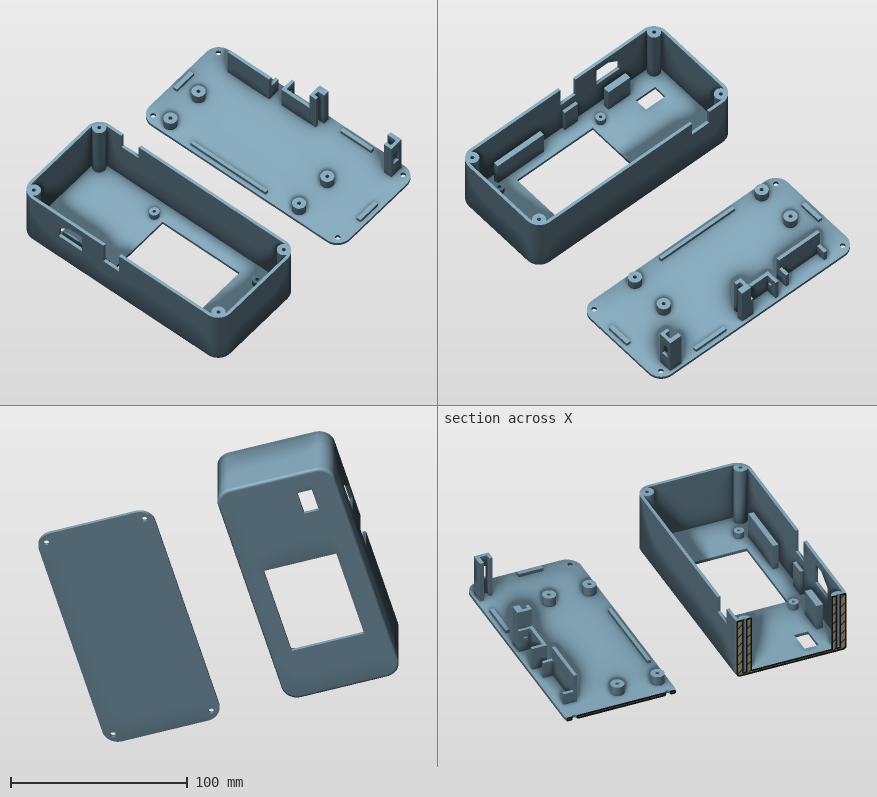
import cadquery as cq

length = 147.2
width = 68.5
corner_radius = 9.0
overall_depth = 174.0
lid_offset = overall_depth - width

screw_x = 67.9
screw_y = 28.9
post_diameter = 8.0
post_hole = 2.3
lid_screw_hole = 3.1

case_height = 38.5
wall = 2.0
bottom_fillet = 1.7
inner_y = width / 2 - wall
cut_margin = 1.7

display_x = (-15.3, 41.2)
display_y = (-21.0, 21.8)
display_standoff_x = (-21.8, 54.0)
display_standoff_y = (-21.8, 22.1)
display_standoff_diameter = 6.0
display_standoff_height = 4.0
display_standoff_hole = 2.0

button_x = (-60.9, -46.5)
button_y = (-19.8, -11.1)

port_x = (-45.0, -28.0)
port_z = (20.2, 33.2)
port_slope_x = -36.7
port_slope_z = 27.7
front_notch_x = (-12.2, -0.9)
front_notch_bottom = 24.2
back_notch_x = (-54.5, -41.8)
back_notch_bottom = 28.4

block_top = 18.1
port_block_x = (-46.6, -30.5)
port_block_y = (-29.0, -24.9)
notch_block_x = (front_notch_x[0], -2.3)
notch_block_inner_y = -30.1
long_block_x = (16.7, 51.2)
long_block_y = (-29.5, -26.3)

plate = 2.0
rib_top = 4.0
side_rib_x = (68.2, 71.0)
left_rib_y = (-7.3, 7.5)
right_rib_y = (-12.5, 2.8)
front_rib_x = (-38.0, 17.0)
front_rib_y = (-31.7, -29.5)
back_rib_x = (21.4, 44.0)
back_rib_y = (29.2, 31.7)
board_standoff_x = (-56.2, 38.5)
board_standoff_y = (-27.7, -2.8)
board_standoff_diameter = 8.0
board_standoff_height = 6.0
board_standoff_hole = 2.3

holder_wall = 2.1
socket_x = (-55.2, -24.7)
socket_y = (21.8, 30.0)
socket_wall_top = 20.4
socket_left_arm_top = 9.2
socket_right_arm_top = 12.4
clip_x = (-16.9, 4.0)
clip_y = (23.1, 32.4)
clip_top = 16.4
bump_y = (27.0, 29.2)
bump_depth = 0.9
bump_z = (9.2, 11.3)

channel_y = (23.3, clip_y[1])
tower_top = 28.0
left_tower_x = 3.7
left_tower_back_x = 10.3
left_tower_lip_x = 8.4
left_tower_back_y = 28.4
right_tower_x = 63.9
right_tower_back_x = 55.7
right_tower_lip_x = 58.3
right_tower_back_y = 29.8
tower_window_z = (12.0, 20.9)


def block(x_range, y_range, z_range):
    """Box given by its lower and upper limit along each axis."""
    size = [high - low for low, high in (x_range, y_range, z_range)]
    return (
        cq.Workplane("XY")
        .box(*size, centered=False)
        .translate((x_range[0], y_range[0], z_range[0]))
    )


def cylinders(points, diameter, bottom, top):
    """Upright cylinders of one size at all the given points."""
    return (
        cq.Workplane("XY")
        .workplane(offset=bottom)
        .pushPoints(points)
        .circle(diameter / 2)
        .extrude(top - bottom)
    )


def grid(x_places, y_places):
    return [(x, y) for x in x_places for y in y_places]


def rounded_slab(x_size, y_size, radius, bottom, top):
    return (
        cq.Workplane("XY")
        .workplane(offset=bottom)
        .rect(x_size, y_size)
        .extrude(top - bottom)
        .edges("|Z")
        .fillet(radius)
    )


screw_points = grid((-screw_x, screw_x), (-screw_y, screw_y))


def case_shell():
    """Open-topped tray with rounded corners and a rounded bottom edge."""
    outside = rounded_slab(length, width, corner_radius, 0, case_height)
    outside = outside.faces("<Z").edges().fillet(bottom_fillet)
    inside = rounded_slab(
        length - 2 * wall, width - 2 * wall, corner_radius - wall, wall, case_height + cut_margin
    )
    return outside.cut(inside)


def floor_opening(x_range, y_range):
    return block(x_range, y_range, (-cut_margin, wall + cut_margin))


def wall_notch(x_range, bottom, side):
    """Cutter for a notch open at the rim: side is -1 for the front wall, 1 for the back."""
    y_range = sorted((side * (inner_y - cut_margin / 2), side * (width / 2 + cut_margin)))
    return block(x_range, y_range, (bottom, case_height + cut_margin))


def port_cutter():
    """Cutter for the front port, a rectangle with its upper left corner sloped off."""
    return (
        cq.Workplane("XZ", origin=(0, -inner_y, 0))
        .moveTo(port_x[0], port_z[0])
        .lineTo(port_x[1], port_z[0])
        .lineTo(port_x[1], port_z[1])
        .lineTo(port_slope_x, port_z[1])
        .lineTo(port_x[0], port_slope_z)
        .close()
        .extrude(wall + cut_margin)
    )


def make_case():
    standoff_points = grid(display_standoff_x, display_standoff_y)
    standoff_top = wall + display_standoff_height
    body = case_shell()

    body = body.union(cylinders(screw_points, post_diameter, wall / 2, case_height))
    body = body.union(cylinders(standoff_points, display_standoff_diameter, wall / 2, standoff_top))
    body = body.union(block(port_block_x, port_block_y, (wall / 2, block_top)))
    body = body.union(block(long_block_x, long_block_y, (wall / 2, block_top)))
    notch_block_y = (-inner_y - wall / 2, notch_block_inner_y)
    body = body.union(block(notch_block_x, notch_block_y, (wall / 2, block_top)))

    body = body.cut(cylinders(screw_points, post_hole, wall, case_height))
    body = body.cut(cylinders(standoff_points, display_standoff_hole, wall, standoff_top))
    body = body.cut(floor_opening(display_x, display_y))
    body = body.cut(floor_opening(button_x, button_y))
    body = body.cut(port_cutter())
    body = body.cut(wall_notch(front_notch_x, front_notch_bottom, -1))
    return body.cut(wall_notch(back_notch_x, back_notch_bottom, 1))


def locating_ribs():
    """Four low ribs that sit just inside the case walls."""
    left_rib_x = (-side_rib_x[1], -side_rib_x[0])
    z_range = (plate / 2, rib_top)
    ribs = block(left_rib_x, left_rib_y, z_range)
    ribs = ribs.union(block(side_rib_x, right_rib_y, z_range))
    ribs = ribs.union(block(front_rib_x, front_rib_y, z_range))
    return ribs.union(block(back_rib_x, back_rib_y, z_range))


def u_holder(x_range, y_range, wall_top, left_arm_top, right_arm_top):
    """U-shaped holder, open to the back, with its own height for each arm."""
    left, right = x_range
    front = y_range[0]
    holder = block(x_range, (front, front + holder_wall), (plate / 2, wall_top))
    holder = holder.union(block((left, left + holder_wall), y_range, (plate / 2, left_arm_top)))
    return holder.union(block((right - holder_wall, right), y_range, (plate / 2, right_arm_top)))


def clip_bumps():
    """Retaining bumps on the facing sides of the two clip arms."""
    left_face = clip_x[0] + holder_wall
    right_face = clip_x[1] - holder_wall
    left_bump = block((left_face, left_face + bump_depth), bump_y, bump_z)
    right_bump = block((right_face - bump_depth, right_face), bump_y, bump_z)
    return left_bump.union(right_bump)


def tower(web_x, back_x, lip_x, back_y):
    """Upright channel: a web at web_x, with a back flange and a front lip pointing inwards."""
    inward = 1 if back_x > web_x else -1
    front, back = channel_y
    web_inner_x = web_x + inward * holder_wall
    return (
        cq.Workplane("XY")
        .workplane(offset=plate / 2)
        .moveTo(web_x, front)
        .lineTo(lip_x, front)
        .lineTo(lip_x, front + holder_wall)
        .lineTo(web_inner_x, front + holder_wall)
        .lineTo(web_inner_x, back_y)
        .lineTo(back_x, back_y)
        .lineTo(back_x, back)
        .lineTo(web_x, back)
        .close()
        .extrude(tower_top - plate / 2)
    )


def right_tower():
    """Channel with a window through its web, between the lip and the back flange."""
    channel = tower(right_tower_x, right_tower_back_x, right_tower_lip_x, right_tower_back_y)
    window_x = (right_tower_x - holder_wall, right_tower_x + cut_margin)
    window_y = (channel_y[0] + holder_wall, right_tower_back_y)
    return channel.cut(block(window_x, window_y, tower_window_z))


def make_lid():
    standoff_points = grid(board_standoff_x, board_standoff_y)
    standoff_top = plate + board_standoff_height
    body = rounded_slab(length, width, corner_radius, 0, plate)

    body = body.union(locating_ribs())
    body = body.union(cylinders(standoff_points, board_standoff_diameter, plate / 2, standoff_top))
    body = body.union(
        u_holder(socket_x, socket_y, socket_wall_top, socket_left_arm_top, socket_right_arm_top)
    )
    body = body.union(u_holder(clip_x, clip_y, clip_top, clip_top, clip_top))
    body = body.union(clip_bumps())
    body = body.union(tower(left_tower_x, left_tower_back_x, left_tower_lip_x, left_tower_back_y))
    body = body.union(right_tower())

    body = body.cut(cylinders(standoff_points, board_standoff_hole, plate, standoff_top))
    body = body.cut(cylinders(screw_points, lid_screw_hole, -cut_margin, plate + cut_margin))
    return body.translate((0, lid_offset, 0))


case = make_case()
lid = make_lid()

result = cq.Compound.makeCompound([case.solids().val(), lid.solids().val()])